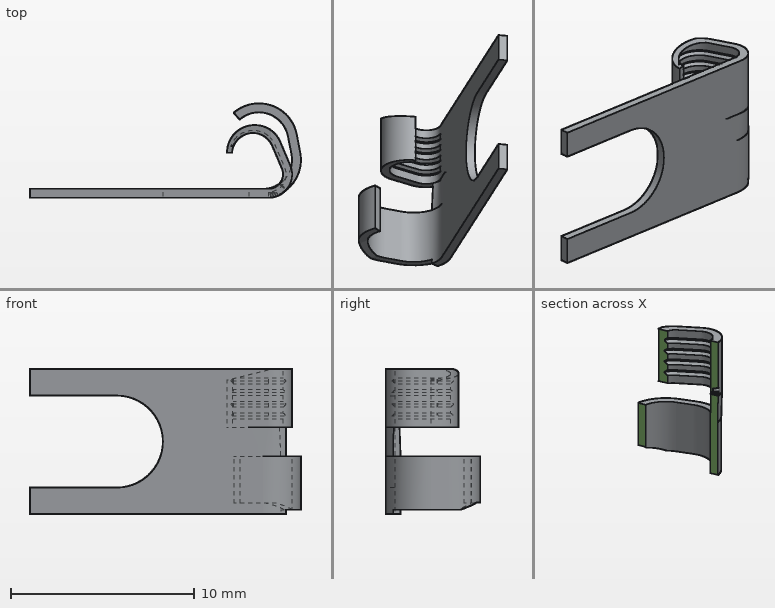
import cadquery as cq
import math

THICKNESS = 0.5
HEIGHT = 7.92

BEND_START = -90.0

SLOT_WIDTH = 5.0
SLOT_DEPTH = 7.24

LOWER_Z0 = 0.24
LOWER_Z1 = 3.17
LOWER_BEND_X = 12.71
LOWER_BEND_R = 2.07
LOWER_LEAN = 11.0
LOWER_HOOK_R = 2.107
LOWER_HOOK_Y = 3.053
LOWER_TIP_ANGLE = 131.0
LOWER_RAMP_ANGLE = 29.5
LOWER_RAMP_SLOPE = 0.32
LOWER_RAMP_RISE = 0.39

UPPER_Z0 = 4.74
UPPER_Z1 = HEIGHT
UPPER_BEND_X = 13.0
UPPER_BEND_R = 1.29
UPPER_LEAN = 23.0
UPPER_HOOK_R = 1.52
UPPER_HOOK_Y = 2.46
UPPER_HOOK_INNER_R = 1.134
UPPER_HOOK_INNER_Y = 2.40
UPPER_TIP_ANGLE = 180.0
UPPER_RAMP_X = 13.15
UPPER_RAMP_SLOPE = 0.248

GROOVE_COUNT = 4
GROOVE_DEPTH = 0.16
GROOVE_END_ANGLE = 160.0

TONGUE_X0 = 11.94
BENT_EDGE_X = 13.96

OVERSHOOT = 1.0


def polar(center, radius, degrees):
    """Point on a circle, with the angle measured from +X toward +Y."""
    angle = math.radians(degrees)
    return (center[0] + radius * math.cos(angle), center[1] + radius * math.sin(angle))


def tangent_center_x(bend_center, bend_radius, lean, radius, y):
    """X of a circle's centre at height y whose tangent line at angle `lean` also touches the bend."""
    angle = math.radians(lean)
    rise = (y - bend_center[1]) * math.sin(angle)
    return bend_center[0] + (bend_radius - radius - rise) / math.cos(angle)


def arc_to(sketch, center, radius, start, end):
    """Continue the outline with an arc from the start angle to the end angle."""
    middle = polar(center, radius, (start + end) / 2)
    return sketch.threePointArc(middle, polar(center, radius, end))


def extrude_between(outline, z0, z1):
    return outline.close().extrude(z1 - z0).translate((0, 0, z0))


LOWER_BEND_CENTER = (LOWER_BEND_X, LOWER_BEND_R)
LOWER_HOOK_CENTER = (
    tangent_center_x(LOWER_BEND_CENTER, LOWER_BEND_R, LOWER_LEAN, LOWER_HOOK_R, LOWER_HOOK_Y),
    LOWER_HOOK_Y,
)
UPPER_BEND_CENTER = (UPPER_BEND_X, UPPER_BEND_R)
UPPER_BEND_INNER_R = UPPER_BEND_R - THICKNESS
UPPER_HOOK_CENTER = (
    tangent_center_x(UPPER_BEND_CENTER, UPPER_BEND_R, UPPER_LEAN, UPPER_HOOK_R, UPPER_HOOK_Y),
    UPPER_HOOK_Y,
)
UPPER_HOOK_INNER_CENTER = (
    tangent_center_x(
        UPPER_BEND_CENTER, UPPER_BEND_INNER_R, UPPER_LEAN, UPPER_HOOK_INNER_R, UPPER_HOOK_INNER_Y
    ),
    UPPER_HOOK_INNER_Y,
)


def flat_sheet(x1, z0, z1):
    """Flat sheet from the -X end to x1."""
    return cq.Workplane("XY").box(x1, THICKNESS, z1 - z0, centered=False).translate((0, 0, z0))


def make_plate():
    """Flat sheet in three bands, each reaching the start of its own bend."""
    plate = flat_sheet(LOWER_BEND_X, 0, LOWER_Z1)
    plate = plate.union(flat_sheet(TONGUE_X0, LOWER_Z1, UPPER_Z0))
    plate = plate.union(flat_sheet(UPPER_BEND_X, UPPER_Z0, UPPER_Z1))
    end_radius = SLOT_WIDTH / 2
    slot_length = SLOT_DEPTH + end_radius + OVERSHOOT
    slot = (
        cq.Workplane("XZ")
        .center(SLOT_DEPTH - slot_length / 2, HEIGHT / 2)
        .slot2D(slot_length, SLOT_WIDTH)
        .extrude(THICKNESS + OVERSHOOT, both=True)
    )
    return plate.cut(slot)


def make_lower_spring():
    inner_bend_r = LOWER_BEND_R - THICKNESS
    inner_hook_r = LOWER_HOOK_R - THICKNESS
    outline = cq.Workplane("XY").moveTo(LOWER_BEND_X, 0)
    outline = arc_to(outline, LOWER_BEND_CENTER, LOWER_BEND_R, BEND_START, LOWER_LEAN)
    outline = outline.lineTo(*polar(LOWER_HOOK_CENTER, LOWER_HOOK_R, LOWER_LEAN))
    outline = arc_to(outline, LOWER_HOOK_CENTER, LOWER_HOOK_R, LOWER_LEAN, LOWER_TIP_ANGLE)
    outline = outline.lineTo(*polar(LOWER_HOOK_CENTER, inner_hook_r, LOWER_TIP_ANGLE))
    outline = arc_to(outline, LOWER_HOOK_CENTER, inner_hook_r, LOWER_TIP_ANGLE, LOWER_LEAN)
    outline = outline.lineTo(*polar(LOWER_BEND_CENTER, inner_bend_r, LOWER_LEAN))
    outline = arc_to(outline, LOWER_BEND_CENTER, inner_bend_r, LOWER_LEAN, BEND_START)
    return extrude_between(outline, LOWER_Z0, LOWER_Z1).cut(lower_ramp())


def lower_ramp():
    """Cutter under the lower hook: a slope starting on a radius of the hook, then a level step."""
    reach = LOWER_HOOK_R + OVERSHOOT
    ramp_length = LOWER_RAMP_RISE / LOWER_RAMP_SLOPE
    radial = math.radians(LOWER_RAMP_ANGLE)
    across = cq.Plane(
        origin=(*LOWER_HOOK_CENTER, LOWER_Z0),
        xDir=(-math.sin(radial), math.cos(radial), 0),
        normal=(math.cos(radial), math.sin(radial), 0),
    )
    return (
        cq.Workplane(across)
        .polyline([(0, 0), (ramp_length, LOWER_RAMP_RISE), (reach, LOWER_RAMP_RISE), (reach, 0)])
        .close()
        .extrude(reach, both=True)
    )


def make_upper_spring():
    inner_tip_rise = (UPPER_HOOK_Y - UPPER_HOOK_INNER_Y) / UPPER_HOOK_INNER_R
    inner_tip_angle = UPPER_TIP_ANGLE - math.degrees(math.asin(inner_tip_rise))
    outline = cq.Workplane("XY").moveTo(UPPER_BEND_X, 0)
    outline = arc_to(outline, UPPER_BEND_CENTER, UPPER_BEND_R, BEND_START, UPPER_LEAN)
    outline = outline.lineTo(*polar(UPPER_HOOK_CENTER, UPPER_HOOK_R, UPPER_LEAN))
    outline = arc_to(outline, UPPER_HOOK_CENTER, UPPER_HOOK_R, UPPER_LEAN, UPPER_TIP_ANGLE)
    outline = outline.lineTo(*polar(UPPER_HOOK_INNER_CENTER, UPPER_HOOK_INNER_R, inner_tip_angle))
    outline = arc_to(outline, UPPER_HOOK_INNER_CENTER, UPPER_HOOK_INNER_R, inner_tip_angle, UPPER_LEAN)
    outline = outline.lineTo(*polar(UPPER_BEND_CENTER, UPPER_BEND_INNER_R, UPPER_LEAN))
    outline = arc_to(outline, UPPER_BEND_CENTER, UPPER_BEND_INNER_R, UPPER_LEAN, BEND_START)
    spring = extrude_between(outline, UPPER_Z0, UPPER_Z1).cut(upper_ramp())
    pitch = (UPPER_Z1 - UPPER_Z0) / (GROOVE_COUNT + 1)
    for index in range(1, GROOVE_COUNT + 1):
        spring = spring.cut(groove(UPPER_Z0 + index * pitch))
    return spring


def upper_ramp():
    """Wedge that slopes the top of the upper hook down toward its tip."""
    run = 2 * UPPER_HOOK_R + OVERSHOOT
    drop = run * UPPER_RAMP_SLOPE
    return (
        cq.Workplane("XZ", origin=(UPPER_RAMP_X, UPPER_HOOK_Y, UPPER_Z1))
        .polyline([(0, 0), (-run, -drop), (-run, 0)])
        .close()
        .extrude(-run)
    )


def groove(z):
    """V-shaped cutter swept along the inner face of the upper spring."""
    path = cq.Workplane("XY", origin=(0, 0, z)).moveTo(UPPER_BEND_X, THICKNESS)
    path = arc_to(path, UPPER_BEND_CENTER, UPPER_BEND_INNER_R, BEND_START, UPPER_LEAN)
    path = path.lineTo(*polar(UPPER_HOOK_INNER_CENTER, UPPER_HOOK_INNER_R, UPPER_LEAN))
    path = arc_to(path, UPPER_HOOK_INNER_CENTER, UPPER_HOOK_INNER_R, UPPER_LEAN, GROOVE_END_ANGLE)
    return (
        cq.Workplane("YZ", origin=(UPPER_BEND_X, THICKNESS, z))
        .polyline([(0, GROOVE_DEPTH), (-GROOVE_DEPTH, 0), (0, -GROOVE_DEPTH)])
        .close()
        .sweep(path)
    )


def bend_end_angle(center, radius):
    """Angle at which the outer bend face reaches the bent edge."""
    return -math.degrees(math.acos((BENT_EDGE_X - center[0]) / radius))


def make_bottom_strip():
    """Part of the lower bend that runs below the lower spring and stops early."""
    inner_r = LOWER_BEND_R - THICKNESS
    end = bend_end_angle(LOWER_BEND_CENTER, LOWER_BEND_R)
    outline = cq.Workplane("XY").moveTo(LOWER_BEND_X, 0)
    outline = arc_to(outline, LOWER_BEND_CENTER, LOWER_BEND_R, BEND_START, end)
    outline = outline.lineTo(*polar(LOWER_BEND_CENTER, inner_r, end))
    outline = arc_to(outline, LOWER_BEND_CENTER, inner_r, end, BEND_START)
    return extrude_between(outline, 0, LOWER_Z0)


def tongue_section(center, radius, z):
    """Closed section of the tongue: smooth faces following the given bend."""
    end = bend_end_angle(center, radius)
    middle = (BEND_START + end) / 2
    headings = (0, 0, middle - BEND_START, end - BEND_START)
    tangents = [cq.Vector(*polar((0, 0), 1, heading), 0) for heading in headings]

    def face_curve(face_radius, y):
        points = [(TONGUE_X0, y), (center[0], y)]
        points += [polar(center, face_radius, angle) for angle in (middle, end)]
        vectors = [cq.Vector(*point, z) for point in points]
        return cq.Edge.makeSpline(vectors, tangents=tangents)

    outer = face_curve(radius, 0)
    inner = face_curve(radius - THICKNESS, THICKNESS)
    root_line = cq.Edge.makeLine(inner.startPoint(), outer.startPoint())
    end_line = cq.Edge.makeLine(outer.endPoint(), inner.endPoint())
    return cq.Wire.assembleEdges([root_line, outer, end_line, inner])


def make_tongue():
    """Short bent tongue that blends from the lower bend to the upper bend."""
    bottom = tongue_section(LOWER_BEND_CENTER, LOWER_BEND_R, LOWER_Z1)
    top = tongue_section(UPPER_BEND_CENTER, UPPER_BEND_R, UPPER_Z0)
    return cq.Workplane(cq.Solid.makeLoft([bottom, top], True))


result = make_plate()
for piece in (make_lower_spring(), make_upper_spring(), make_bottom_strip(), make_tongue()):
    result = result.union(piece)